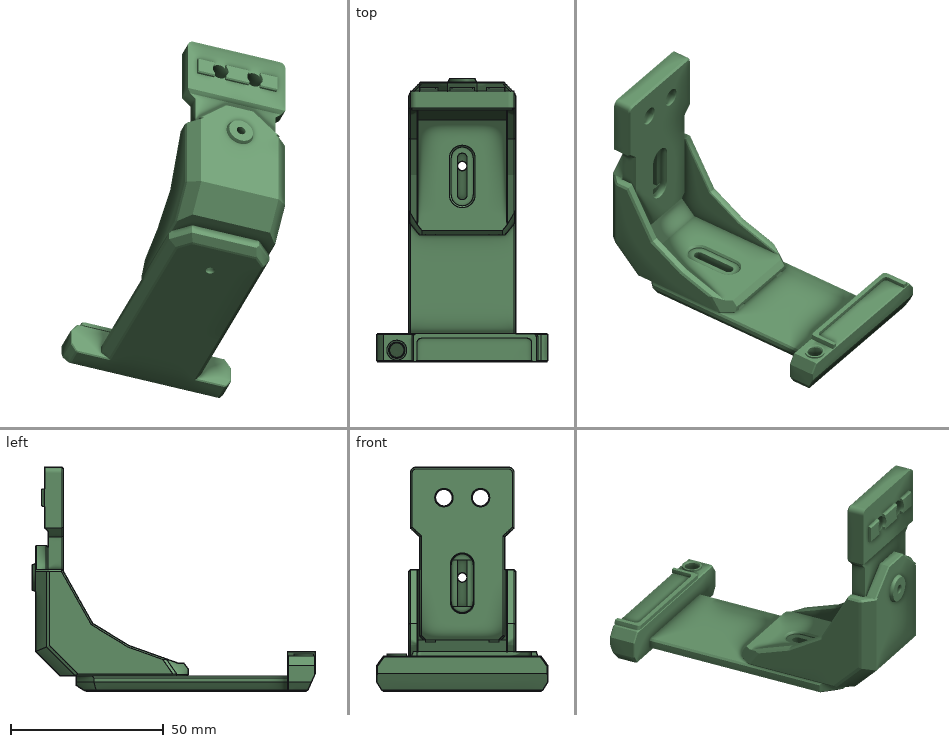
import cadquery as cq


EDGE = 0.6
FINE_EDGE = 0.35
ARM_HALF_WIDTH = 17.5
SCREW_HOLE_D = 3.0
SLOT_D = 3.2
SLOT_TRAVEL = 12.0
SLOT_LENGTH = SLOT_TRAVEL + SLOT_D
HEAD_SLOT_D = 7.2
HOLE_EXTRA = 1.0

KEY_WIDTH = 3.2
FOOT_KEY_HEIGHT = 1.1
UPRIGHT_KEY_HEIGHT = 0.7
KEY_X = 10.4

PLATE_TOP = 5.0
PLATE_BACK = 78.2
PLATE_CORNER = 5.8
FOOT_BEVEL_WIDTH = 1.9
FOOT_BEVEL_HEIGHT = 3.0
SOLE_EDGE = 0.4
FOOT_SCREW_Y = 64.0

BAR_HALF_LENGTH = 28.0
BAR_DEPTH = 9.2
BAR_TOP = 11.6
BAR_END_BEVEL_HEIGHT = 3.2
BAR_END_BEVEL_WIDTH = 2.3
BAR_FRONT_BEVEL_DEPTH = 2.6
BAR_FRONT_BEVEL_HEIGHT = 5.8

PAD_TOP = 13.0
PAD_LEFT = -16.5
PAD_RIGHT = 24.7
PAD_LEAN = 0.5
PAD_CORNER_R = 1.0
LABEL_LEFT = -14.8
LABEL_RIGHT = 22.7
LABEL_BACK = 7.7
LABEL_CORNER = 1.5

INSERT_X = -21.4
INSERT_Y = 3.8
INSERT_D = 4.7
INSERT_MOUTH_D = 5.4
INSERT_DEPTH = 8.0
COLLAR_D = 6.5
COLLAR_HEIGHT = 0.6

BRACKET_FRONT = 41.5
BRACKET_BACK = 91.5
BRACKET_HEEL = 8.0
BACK_BEVEL = 4.0
FLOOR_TOP = 9.2
LIP_DEPTH = 1.5
LIP_HEIGHT = 2.0
WALL_TOP = 39.8
WALL_FRONT_TOP_Y = 82.7
WALL_BENDS = [(72.8, 22.2), (61.0, 15.0)]
WALL_TOE_Y = 44.8
CHANNEL_HALF_WIDTH = 14.5
LEDGE_TOP = 16.8
BACK_WALL_FRONT = 87.4
RAMP_FOOT_Y = 79.1
RAMP_TOP_Y = RAMP_FOOT_Y + LEDGE_TOP - FLOOR_TOP
CREST_TOP = 47.7
CREST_HALF_WIDTH = 4.8
CREST_FOOT_X = 14.0
TOE_CORNER = 3.9
TOE_CORNER_SLOPE = 1.25
TOE_CORNER_LEAN = 0.7
FLOOR_SLOT_Y = 60.6
FLOOR_HEAD_DEPTH = 1.0
BOSS_D = 9.3
BOSS_HEIGHT = 1.12
BOSS_TAPER = 24
BOSS_Z = 37.2

UPRIGHT_FRONT = 82.3
UPRIGHT_TOP = 73.32
UPRIGHT_HEAD_BACK = 88.5
UPRIGHT_HEAD_HALF_WIDTH = 17.0
UPRIGHT_HALF_WIDTH = 13.95
HEAD_BOTTOM = 53.4
HEAD_TAPER = 2.9
HEAD_CORNER_R = 2.0
UPRIGHT_SLOT_Z = 35.3
UPRIGHT_HEAD_DEPTH = 2.3
BRIDGE_STEP = 0.2
MOUNT_HOLE_D = 5.4
MOUNT_HOLE_X = 6.0
MOUNT_HOLE_Z = 63.3
RAIL_HEIGHT = 5.8
RAIL_THICKNESS = 1.1
RAIL_BEVEL = 0.4
RAIL_HALF_LENGTH = 13.8
RAIL_GAP = 3.9


def side_prism(points, half_width):
    """Extrude a (Y, Z) outline symmetrically about X = 0."""
    return cq.Workplane("YZ").polyline(points).close().extrude(half_width, both=True)


def front_prism(points, y_start, y_end):
    """Extrude an (X, Z) outline from y_start back to y_end."""
    return (
        cq.Workplane("XZ", origin=(0, y_start, 0))
        .polyline(points)
        .close()
        .extrude(y_start - y_end)
    )


def block(x_range, y_range, z_range):
    """Box given by its limits on each axis."""
    limits = (x_range, y_range, z_range)
    return cq.Workplane("XY").box(
        *[high - low for low, high in limits], centered=False
    ).translate(tuple(low for low, high in limits))


def foot_plate():
    front = BAR_DEPTH / 2
    plate = block(
        (-ARM_HALF_WIDTH, ARM_HALF_WIDTH), (front, PLATE_BACK), (0, PLATE_TOP)
    )
    plate = plate.edges("|Z and >Y").chamfer(PLATE_CORNER)
    rim = plate.faces("<Z").edges("not <Y")
    plate = rim.chamfer(FOOT_BEVEL_HEIGHT, FOOT_BEVEL_WIDTH)
    return plate.faces(">Z").edges("|Y").chamfer(EDGE)


def foot_bar():
    end = BAR_HALF_LENGTH
    sole = BAR_HALF_LENGTH - FOOT_BEVEL_WIDTH
    shoulder = BAR_HALF_LENGTH - BAR_END_BEVEL_WIDTH
    outline = [
        (-sole, 0),
        (sole, 0),
        (end, FOOT_BEVEL_HEIGHT),
        (end, BAR_TOP - BAR_END_BEVEL_HEIGHT),
        (shoulder, BAR_TOP),
        (-shoulder, BAR_TOP),
        (-end, BAR_TOP - BAR_END_BEVEL_HEIGHT),
        (-end, FOOT_BEVEL_HEIGHT),
    ]
    bar = front_prism(outline, 0, BAR_DEPTH)
    bar = bar.faces("<Y or >Y").edges("not <Z").chamfer(FINE_EDGE)
    front_bevel = side_prism(
        [(0, 0), (BAR_FRONT_BEVEL_DEPTH, 0), (0, BAR_FRONT_BEVEL_HEIGHT)],
        BAR_HALF_LENGTH,
    )
    return bar.cut(front_bevel)


def label_pad():
    outline = [
        (PAD_LEFT, BAR_TOP),
        (PAD_LEFT + PAD_LEAN, PAD_TOP),
        (PAD_RIGHT - PAD_LEAN, PAD_TOP),
        (PAD_RIGHT, BAR_TOP),
    ]
    pad = front_prism(outline, 0, BAR_DEPTH)
    return pad.faces(">Y").edges("not |X").fillet(PAD_CORNER_R)


def label_recess():
    recess = block(
        (LABEL_LEFT, LABEL_RIGHT), (-HOLE_EXTRA, LABEL_BACK), (BAR_TOP, PAD_TOP)
    )
    return recess.edges("|Z and >Y").fillet(LABEL_CORNER)


def insert_collar():
    return (
        cq.Workplane("XY", origin=(INSERT_X, INSERT_Y, BAR_TOP))
        .circle(COLLAR_D / 2)
        .extrude(COLLAR_HEIGHT)
    )


def insert_hole():
    mouth = (INSERT_MOUTH_D - INSERT_D) / 2
    hole = (
        cq.Workplane("XY", origin=(INSERT_X, INSERT_Y, BAR_TOP + COLLAR_HEIGHT))
        .circle(INSERT_D / 2)
        .extrude(-INSERT_DEPTH)
    )
    cone = (
        cq.Workplane("XY", origin=(INSERT_X, INSERT_Y, BAR_TOP + COLLAR_HEIGHT))
        .circle(INSERT_MOUTH_D / 2)
        .extrude(-mouth, taper=45)
    )
    return hole.union(cone)


def foot_keys():
    """Keys under the bracket, each with a ramp at its front end."""
    back = PLATE_BACK - FOOT_BEVEL_WIDTH
    outline = [
        (BRACKET_FRONT, PLATE_TOP),
        (BRACKET_FRONT + FOOT_KEY_HEIGHT, PLATE_TOP + FOOT_KEY_HEIGHT),
        (back, PLATE_TOP + FOOT_KEY_HEIGHT),
        (back, PLATE_TOP),
    ]
    key = side_prism(outline, KEY_WIDTH / 2)
    return key.translate((-KEY_X, 0, 0)).union(key.translate((KEY_X, 0, 0)))


def build_foot():
    screw_hole = (
        cq.Workplane("XY", origin=(0, FOOT_SCREW_Y, 0))
        .circle(SCREW_HOLE_D / 2)
        .extrude(PLATE_TOP)
    )
    foot = foot_bar().union(foot_plate())
    foot = foot.faces("<Z").edges().chamfer(SOLE_EDGE)
    foot = foot.union(label_pad()).union(insert_collar())
    foot = foot.cut(label_recess()).cut(insert_hole()).cut(screw_hole)
    return foot.union(foot_keys())


def toe_corner_cutter(side):
    """Half space that trims one front corner of the bracket; side is -1 or +1."""
    reach = 40
    plane = cq.Plane(
        origin=(side * ARM_HALF_WIDTH, BRACKET_FRONT + TOE_CORNER, PLATE_TOP),
        xDir=(side, TOE_CORNER_SLOPE, 0),
        normal=(side * TOE_CORNER_SLOPE, -1, TOE_CORNER_LEAN),
    )
    return cq.Workplane(plane).rect(reach, reach).extrude(reach / 2)


def bracket_shell():
    outline = [
        (BRACKET_FRONT, PLATE_TOP),
        (BRACKET_BACK - BRACKET_HEEL, PLATE_TOP),
        (BRACKET_BACK, PLATE_TOP + BRACKET_HEEL),
        (BRACKET_BACK, WALL_TOP),
        (WALL_FRONT_TOP_Y, WALL_TOP),
        *WALL_BENDS,
        (WALL_TOE_Y, FLOOR_TOP),
        (BRACKET_FRONT + LIP_DEPTH, FLOOR_TOP),
        (BRACKET_FRONT, FLOOR_TOP - LIP_HEIGHT),
    ]
    return side_prism(outline, ARM_HALF_WIDTH)


def edges_near(body, points):
    """The edges of a body whose centres lie nearest to the given points."""
    picked = body.newObject([])
    for point in points:
        picked = picked.add(body.edges(cq.selectors.NearestToPointSelector(point)))
    return picked


def bevel_back(shell):
    """Bevel both sides of the back and of the heel below it."""
    heel_y = BRACKET_BACK - BRACKET_HEEL / 2
    heel_z = PLATE_TOP + BRACKET_HEEL / 2
    back_z = (PLATE_TOP + BRACKET_HEEL + WALL_TOP) / 2
    points = []
    for x in (-ARM_HALF_WIDTH, ARM_HALF_WIDTH):
        points.append((x, BRACKET_BACK, back_z))
        points.append((x, heel_y, heel_z))
    return edges_near(shell, points).chamfer(BACK_BEVEL)


def trim_outer_edges(shell):
    """Small chamfers around the outer side faces, the top of the back bevel and the toe."""
    toe_x = ARM_HALF_WIDTH - TOE_CORNER / TOE_CORNER_SLOPE / 2
    toe_y = BRACKET_FRONT + TOE_CORNER / 2
    bevel_mid = BACK_BEVEL / 2
    points = [(0, BRACKET_FRONT, PLATE_TOP)]
    for side in (-1, 1):
        points.append((side * toe_x, toe_y, PLATE_TOP))
        points.append((side * (ARM_HALF_WIDTH - bevel_mid), BRACKET_BACK - bevel_mid, WALL_TOP))
    rims = shell.faces("<X or >X").edges()
    return rims.add(edges_near(shell, points)).chamfer(EDGE)


def trim_inner_edges(bracket):
    """Small chamfer along the inner upper edges of the side walls."""
    bends = [(WALL_FRONT_TOP_Y, WALL_TOP), *WALL_BENDS, (WALL_TOE_Y, FLOOR_TOP)]
    points = []
    for (y1, z1), (y2, z2) in zip(bends, bends[1:]):
        for x in (-CHANNEL_HALF_WIDTH, CHANNEL_HALF_WIDTH):
            points.append((x, (y1 + y2) / 2, (z1 + z2) / 2))
    return edges_near(bracket, points).chamfer(FINE_EDGE)


def bracket_channel():
    """Space between the side walls, above the floor, ramp and ledge."""
    outline = [
        (0, FLOOR_TOP),
        (RAMP_FOOT_Y, FLOOR_TOP),
        (RAMP_TOP_Y, LEDGE_TOP),
        (BACK_WALL_FRONT, LEDGE_TOP),
        (BACK_WALL_FRONT, CREST_TOP),
        (0, CREST_TOP),
    ]
    return side_prism(outline, CHANNEL_HALF_WIDTH)


def back_wall_crest():
    outline = [
        (-CREST_FOOT_X, WALL_TOP),
        (-CREST_HALF_WIDTH, CREST_TOP),
        (CREST_HALF_WIDTH, CREST_TOP),
        (CREST_FOOT_X, WALL_TOP),
    ]
    crest = front_prism(outline, BACK_WALL_FRONT, BRACKET_BACK)
    crest = crest.faces(">Y").edges("not <Z").chamfer(FINE_EDGE)
    return crest.faces("<Y").edges("not <Z").chamfer(EDGE)


def back_boss():
    return (
        cq.Workplane("XZ", origin=(0, BRACKET_BACK, BOSS_Z))
        .circle(BOSS_D / 2)
        .extrude(-BOSS_HEIGHT, taper=BOSS_TAPER)
    )


def floor_slot():
    """Slot through the floor with a wider, chamfered slot for the screw head."""
    start = cq.Workplane("XY", origin=(0, FLOOR_SLOT_Y, FLOOR_TOP))
    through = start.slot2D(SLOT_LENGTH, SLOT_D, 90).extrude(PLATE_TOP - FLOOR_TOP)
    head = start.slot2D(SLOT_TRAVEL + HEAD_SLOT_D, HEAD_SLOT_D, 90).extrude(-FLOOR_HEAD_DEPTH)
    mouth_d = HEAD_SLOT_D + 2 * EDGE
    mouth = start.slot2D(SLOT_TRAVEL + mouth_d, mouth_d, 90).extrude(-EDGE, taper=45)
    return through.union(head).union(mouth)


def build_bracket():
    screw_hole = (
        cq.Workplane("XZ", origin=(0, BACK_WALL_FRONT, BOSS_Z))
        .circle(SCREW_HOLE_D / 2)
        .extrude(-(BRACKET_BACK + BOSS_HEIGHT - BACK_WALL_FRONT))
    )
    key_grooves = block(
        (-KEY_X - KEY_WIDTH / 2, -KEY_X + KEY_WIDTH / 2),
        (BRACKET_FRONT, PLATE_BACK - FOOT_BEVEL_WIDTH),
        (PLATE_TOP, PLATE_TOP + FOOT_KEY_HEIGHT),
    )
    key_grooves = key_grooves.union(key_grooves.mirror("YZ"))
    shell = bevel_back(bracket_shell())
    for side in (-1, 1):
        shell = shell.cut(toe_corner_cutter(side))
    bracket = trim_outer_edges(shell).cut(bracket_channel())
    bracket = trim_inner_edges(bracket)
    bracket = bracket.union(back_wall_crest()).union(back_boss())
    return bracket.cut(floor_slot()).cut(screw_hole).cut(key_grooves).cut(upright_keys())


def upright_keys():
    """Keys under the upright, their front ends flush with the bracket's ramp."""
    outline = [
        (RAMP_TOP_Y, LEDGE_TOP),
        (RAMP_TOP_Y - UPRIGHT_KEY_HEIGHT, LEDGE_TOP - UPRIGHT_KEY_HEIGHT),
        (BACK_WALL_FRONT, LEDGE_TOP - UPRIGHT_KEY_HEIGHT),
        (BACK_WALL_FRONT, LEDGE_TOP),
    ]
    key = side_prism(outline, KEY_WIDTH / 2)
    return key.translate((-KEY_X, 0, 0)).union(key.translate((KEY_X, 0, 0)))


def upright_plate():
    head, shank = UPRIGHT_HEAD_HALF_WIDTH, UPRIGHT_HALF_WIDTH
    outline = [
        (-shank, LEDGE_TOP),
        (shank, LEDGE_TOP),
        (shank, HEAD_BOTTOM - HEAD_TAPER),
        (head, HEAD_BOTTOM),
        (head, UPRIGHT_TOP),
        (-head, UPRIGHT_TOP),
        (-head, HEAD_BOTTOM),
        (-shank, HEAD_BOTTOM - HEAD_TAPER),
    ]
    plate = front_prism(outline, UPRIGHT_FRONT, UPRIGHT_HEAD_BACK)
    plate = plate.edges("|Y and >Z").fillet(HEAD_CORNER_R)
    plate = plate.edges("|Y and <Z").chamfer(2 * EDGE)
    plate = plate.faces("<Y").edges("not <Z").chamfer(EDGE)
    step = UPRIGHT_HEAD_BACK - BACK_WALL_FRONT
    shank_relief = side_prism(
        [
            (BACK_WALL_FRONT, 0),
            (BACK_WALL_FRONT, HEAD_BOTTOM - step),
            (UPRIGHT_HEAD_BACK, HEAD_BOTTOM),
            (UPRIGHT_HEAD_BACK, 0),
        ],
        head,
    )
    return plate.cut(shank_relief)


def upright_slot():
    """Head slot in front, a square step behind it and a square-ended screw slot through."""
    start = cq.Workplane("XZ", origin=(0, UPRIGHT_FRONT, UPRIGHT_SLOT_Z))
    step_depth = UPRIGHT_HEAD_DEPTH + BRIDGE_STEP
    mouth_d = HEAD_SLOT_D + EDGE
    mouth = start.slot2D(SLOT_TRAVEL + mouth_d, mouth_d, 90).extrude(-EDGE / 2, taper=45)
    head = start.slot2D(SLOT_TRAVEL + HEAD_SLOT_D, HEAD_SLOT_D, 90).extrude(-UPRIGHT_HEAD_DEPTH)
    step = start.rect(HEAD_SLOT_D, SLOT_LENGTH).extrude(-step_depth)
    step = step.intersect(
        start.slot2D(SLOT_TRAVEL + HEAD_SLOT_D, HEAD_SLOT_D, 90).extrude(-step_depth)
    )
    through = start.rect(SLOT_D, SLOT_LENGTH).extrude(UPRIGHT_FRONT - BACK_WALL_FRONT)
    return mouth.union(head).union(step).union(through)


def guide_rail():
    rail = block(
        (-RAIL_HALF_LENGTH, RAIL_HALF_LENGTH),
        (UPRIGHT_HEAD_BACK, UPRIGHT_HEAD_BACK + RAIL_THICKNESS),
        (MOUNT_HOLE_Z - RAIL_HEIGHT / 2, MOUNT_HOLE_Z + RAIL_HEIGHT / 2),
    )
    rail = rail.faces(">Y").edges("|X").chamfer(RAIL_BEVEL)
    for side in (-1, 1):
        gap_x = side * MOUNT_HOLE_X
        rail = rail.cut(
            block(
                (gap_x - RAIL_GAP / 2, gap_x + RAIL_GAP / 2),
                (UPRIGHT_HEAD_BACK, UPRIGHT_HEAD_BACK + RAIL_THICKNESS),
                (HEAD_BOTTOM, UPRIGHT_TOP),
            )
        )
    return rail


def mount_holes():
    start = cq.Workplane("XZ", origin=(0, UPRIGHT_FRONT, MOUNT_HOLE_Z))
    start = start.pushPoints([(-MOUNT_HOLE_X, 0), (MOUNT_HOLE_X, 0)])
    length = UPRIGHT_HEAD_BACK + RAIL_THICKNESS - UPRIGHT_FRONT
    holes = start.circle(MOUNT_HOLE_D / 2).extrude(-length)
    mouths = start.circle((MOUNT_HOLE_D + EDGE) / 2).extrude(-EDGE / 2, taper=45)
    return holes.union(mouths)


def build_upright():
    upright = upright_plate().union(guide_rail()).union(upright_keys())
    return upright.cut(upright_slot()).cut(mount_holes())


foot = build_foot()
bracket = build_bracket()
upright = build_upright()

bodies = [foot, bracket, upright]
result = cq.Compound.makeCompound([body.solids().val() for body in bodies])